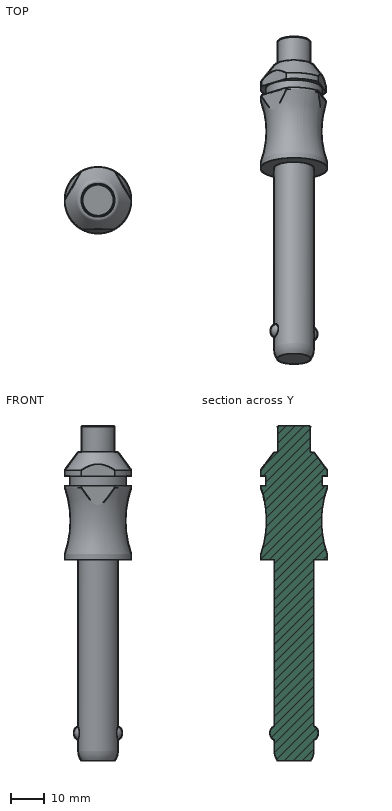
import cadquery as cq
import math


SHANK_RADIUS = 6.0
SHANK_LENGTH = 60.0
TIP_HEIGHT = 3.0
TIP_ARC_RADIUS = 5.0

BALL_RADIUS = 2.3
BALL_REACH = 7.3
BALL_FROM_TIP = 8.3

GRIP_RADIUS = 10.0
GRIP_RIM_HEIGHT = 1.7
GRIP_WAIST_RADIUS = 8.3
GRIP_ARC_RADIUS = 30.0
GRIP_TOP = 22.2
GROOVE_RADIUS = 8.5
GROOVE_WIDTH = 2.8
HEAD_BAND_HEIGHT = 1.8
HEAD_TOP = 32.3
HEAD_SHOULDER_RADIUS = 5.95
HEAD_ROUND = 1.0

FLAT_WIDTH = 10.0
FLAT_COUNT = 3
FIRST_FLAT_ANGLE = -90.0

BUTTON_RADIUS = 5.0
BUTTON_TOP = 40.1
BUTTON_CHAMFER = 0.4

TIP_Z = -SHANK_LENGTH
TIP_RADIUS = (
    SHANK_RADIUS - TIP_ARC_RADIUS + math.sqrt(TIP_ARC_RADIUS**2 - TIP_HEIGHT**2)
)
FLARE_CENTER_RADIUS = GRIP_WAIST_RADIUS + GRIP_ARC_RADIUS
FLARE_HALF_HEIGHT = math.sqrt(GRIP_ARC_RADIUS**2 - (FLARE_CENTER_RADIUS - GRIP_RADIUS) ** 2)
WAIST_Z = GRIP_RIM_HEIGHT + FLARE_HALF_HEIGHT
FLARE_TOP = WAIST_Z + FLARE_HALF_HEIGHT
HEAD_BOTTOM = GRIP_TOP + GROOVE_WIDTH
CONE_BOTTOM = HEAD_BOTTOM + HEAD_BAND_HEIGHT
FLAT_DISTANCE = math.sqrt(GRIP_RADIUS**2 - (FLAT_WIDTH / 2) ** 2)


def make_shank():
    """Round shank whose tip narrows along an arc tangent to the shank wall."""
    middle_angle = math.asin(TIP_HEIGHT / TIP_ARC_RADIUS) / 2
    arc_center_radius = SHANK_RADIUS - TIP_ARC_RADIUS
    arc_center_z = TIP_Z + TIP_HEIGHT
    arc_middle = (
        arc_center_radius + TIP_ARC_RADIUS * math.cos(middle_angle),
        arc_center_z - TIP_ARC_RADIUS * math.sin(middle_angle),
    )
    profile = (
        cq.Workplane("XZ")
        .moveTo(0, TIP_Z)
        .lineTo(TIP_RADIUS, TIP_Z)
        .threePointArc(arc_middle, (SHANK_RADIUS, arc_center_z))
        .lineTo(SHANK_RADIUS, GRIP_RIM_HEIGHT)
        .lineTo(0, GRIP_RIM_HEIGHT)
        .close()
    )
    return profile.revolve(360, (0, 0, 0), (0, 1, 0))


def make_grip_and_head():
    """Waisted grip, groove and conical head as one revolved body."""
    profile = (
        cq.Workplane("XZ")
        .moveTo(0, 0)
        .lineTo(GRIP_RADIUS, 0)
        .lineTo(GRIP_RADIUS, GRIP_RIM_HEIGHT)
        .threePointArc((GRIP_WAIST_RADIUS, WAIST_Z), (GRIP_RADIUS, FLARE_TOP))
        .lineTo(GRIP_RADIUS, GRIP_TOP)
        .lineTo(GROOVE_RADIUS, GRIP_TOP)
        .lineTo(GROOVE_RADIUS, HEAD_BOTTOM)
        .lineTo(GRIP_RADIUS, HEAD_BOTTOM)
        .lineTo(GRIP_RADIUS, CONE_BOTTOM)
        .lineTo(HEAD_SHOULDER_RADIUS, HEAD_TOP)
        .lineTo(0, HEAD_TOP)
        .close()
    )
    body = profile.revolve(360, (0, 0, 0), (0, 1, 0))
    return body.faces(">Z").edges().fillet(HEAD_ROUND)


def make_flat_cutter(angle):
    """Block outside one finger flat, reaching down to the waist."""
    block = cq.Workplane("XY").box(
        GRIP_RADIUS, 2 * GRIP_RADIUS, HEAD_TOP - WAIST_Z, centered=(False, True, False)
    )
    block = block.translate((FLAT_DISTANCE, 0, WAIST_Z))
    return block.rotate((0, 0, 0), (0, 0, 1), angle)


def make_button():
    """Push button standing on the head, with a chamfered top edge."""
    button = (
        cq.Workplane("XY")
        .workplane(offset=CONE_BOTTOM)
        .circle(BUTTON_RADIUS)
        .extrude(BUTTON_TOP - CONE_BOTTOM)
    )
    return button.faces(">Z").edges().chamfer(BUTTON_CHAMFER)


def make_ball(side):
    """Locking ball on the +X (side = 1) or -X (side = -1) face of the shank."""
    center = (side * (BALL_REACH - BALL_RADIUS), 0, TIP_Z + BALL_FROM_TIP)
    return cq.Workplane("XY").sphere(BALL_RADIUS).translate(center)


result = make_grip_and_head()
for index in range(FLAT_COUNT):
    result = result.cut(make_flat_cutter(FIRST_FLAT_ANGLE + index * 360 / FLAT_COUNT))
result = result.union(make_shank()).union(make_button())
for side in (1, -1):
    result = result.union(make_ball(side))